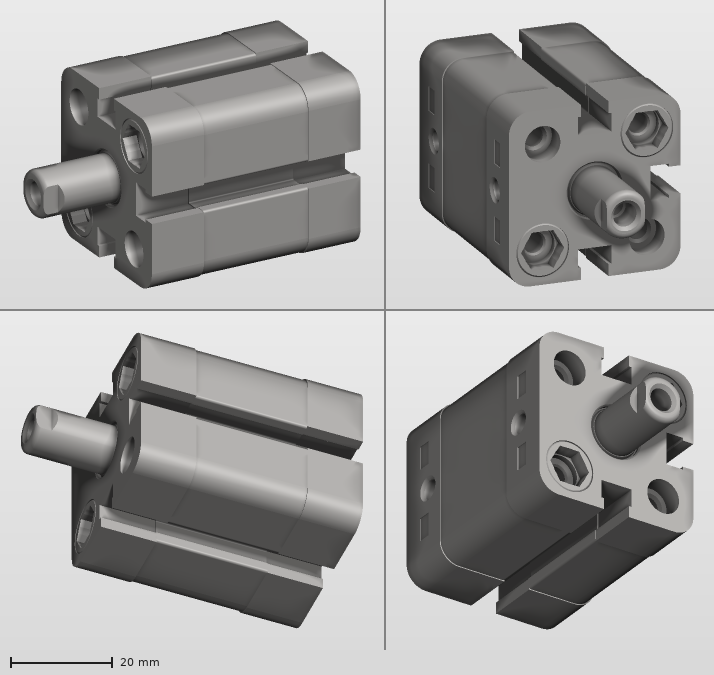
import cadquery as cq
import math


total_length = 63.6
body_length = 47.05
cap_length = 11.75
tube_length = body_length - 2 * cap_length
cap_size = 36.3
tube_inset = 0.2
tube_size = cap_size - 2 * tube_inset
corner_radius = 4.45

cap_slot_neck_width = 5.85
cap_slot_width = 7.1
cap_slot_depth = 6.35
slot_neck_depth = 2.5
slot_clearance = 0.25
tube_slot_mouth_radius = 0.5
tube_slot_corner_radius = 0.3
slot_angles = (0, 90, -90)

rod_diameter = 10.0
rod_projection = total_length - body_length
rear_bore_bottom = 6.1
rod_end_radius = 1.3
flat_width = 8.0
flat_length = 3.3
thread_chamfer_diameter = 6.35
thread_diameter = 4.9
core_diameter = 4.15
rod_thread_depth = 6.35
rod_core_depth = 8.9
floor_point_angle = 118.0

gland_chamfer_diameter = 12.0
gland_diameter = 11.4
gland_depth = 0.95
lip_base_diameter = 10.9
lip_tip_diameter = 10.3
lip_height = 0.65

hole_pitch = 22.1
hole_recess_depth = 4.45
plain_recess_diameter = 7.5
plain_cone_diameter = 5.35
socket_groove_diameter = 11.1
socket_face_diameter = 10.5
hex_across_flats = 7.9
hex_depth = 3.1
hex_bore_diameter = 8.0
lower_bore_diameter = 7.6
socket_cone_diameter = 4.9

port_end_distance = 7.5
port_mouth_diameter = 5.35
port_diameter = 4.15
port_floor_x = -4.8
label_end_distance = 6.25
label_offset = 8.0
label_length = 3.05
label_height = 5.1
label_depth = 0.2


def along_y(y):
    """Workplane at height y whose normal is +Y; local x is X and local y is -Z."""
    return cq.Workplane(cq.Plane(origin=(0, y, 0), xDir=(1, 0, 0), normal=(0, 1, 0)))


def disc(diameter, y_start, y_end, x=0.0, z=0.0):
    """Cylinder along Y."""
    return along_y(y_start).center(x, -z).circle(diameter / 2).extrude(y_end - y_start)


def cone(start_diameter, end_diameter, y_start, x=0.0, z=0.0, length=None):
    """Cone frustum running towards +Y; 45 degrees to the axis unless a length is given."""
    if length is None:
        length = abs(start_diameter - end_diameter) / 2
    start = cq.Vector(x, y_start, z)
    solid = cq.Solid.makeCone(start_diameter / 2, end_diameter / 2, length, start, cq.Vector(0, 1, 0))
    return cq.Workplane(solid)


def square_block(size, y_start, length):
    """Square bar with rounded long edges."""
    block = along_y(y_start).rect(size, size).extrude(length)
    return block.edges("|Y").fillet(corner_radius)


def t_slot(neck_width, width, neck_depth, depth, size, y_start, length):
    """T-slot cutter that opens on the +X side of a block of the given size."""
    side = size / 2
    neck = along_y(y_start).center(side - depth / 2, 0).rect(depth, neck_width).extrude(length)
    chamber_depth = depth - neck_depth
    chamber_x = side - neck_depth - chamber_depth / 2
    chamber = along_y(y_start).center(chamber_x, 0).rect(chamber_depth, width).extrude(length)
    return neck.union(chamber)


def cut_t_slots(block, slot):
    for angle in slot_angles:
        block = block.cut(slot.rotate((0, 0, 0), (0, 1, 0), angle))
    return block


def make_blank_cap():
    """Front cap with slots, port and labels, before its rod bore and fixing holes."""
    cap = square_block(cap_size, 0, cap_length)
    slot = t_slot(
        cap_slot_neck_width, cap_slot_width, slot_neck_depth, cap_slot_depth, cap_size, 0, cap_length
    )
    cap = cut_t_slots(cap, slot)
    return cut_labels(cut_port(cap))


def cut_port(cap):
    """Flat-bottomed port that breaks into the rod bore, with a countersunk mouth."""
    side_x = -cap_size / 2
    mouth = cq.Vector(side_x, port_end_distance, 0)
    inward = cq.Vector(1, 0, 0)
    mouth_depth = (port_mouth_diameter - port_diameter) / 2
    countersink = cq.Solid.makeCone(port_mouth_diameter / 2, port_diameter / 2, mouth_depth, mouth, inward)
    bore = cq.Solid.makeCylinder(port_diameter / 2, port_floor_x - side_x, mouth, inward)
    return cap.cut(cq.Workplane(countersink)).cut(cq.Workplane(bore))


def cut_labels(cap):
    """Two shallow rectangular recesses above and below the port."""
    for z in (-label_offset, label_offset):
        recess = cq.Workplane("XY").box(2 * label_depth, label_length, label_height)
        cap = cap.cut(recess.translate((-cap_size / 2, label_end_distance, z)))
    return cap


def cut_rod_gland(cap):
    """Rod bore with a chamfered recess that leaves a tapered wiper lip around the rod."""
    chamfer = cone(gland_chamfer_diameter, gland_diameter, 0)
    recess = disc(gland_diameter, 0, gland_depth)
    lip = cone(lip_tip_diameter, lip_base_diameter, gland_depth - lip_height, length=lip_height)
    cap = cap.cut(chamfer).cut(recess.cut(lip))
    return cap.cut(disc(rod_diameter, 0, cap_length))


def cut_threaded_hole(cap, cone_diameter, x, z):
    """Countersunk core hole from the bottom of a corner recess to the back of the cap."""
    cap = cap.cut(cone(cone_diameter, core_diameter, hole_recess_depth, x, z))
    return cap.cut(disc(core_diameter, hole_recess_depth, cap_length, x, z))


def cut_plain_hole(cap, x, z):
    cap = cap.cut(disc(plain_recess_diameter, 0, hole_recess_depth, x, z))
    return cut_threaded_hole(cap, plain_cone_diameter, x, z)


def cut_hex_hole(cap, x, z):
    """Hexagon socket in a chamfered round face, widened by a bore, with a narrower bore beneath."""
    chamfer = cone(socket_face_diameter, socket_groove_diameter, 0, x, z)
    groove_depth = (socket_groove_diameter - socket_face_diameter) / 2
    groove = disc(socket_groove_diameter, 0, groove_depth, x, z).cut(chamfer)
    hexagon_diameter = hex_across_flats / math.cos(math.radians(30))
    hexagon = along_y(0).center(x, -z).polygon(6, hexagon_diameter).extrude(hex_depth)
    bore = disc(hex_bore_diameter, 0, hex_depth, x, z)
    lower_bore = disc(lower_bore_diameter, 0, hole_recess_depth, x, z)
    cap = cap.cut(groove).cut(hexagon).cut(bore).cut(lower_bore)
    return cut_threaded_hole(cap, socket_cone_diameter, x, z)


def make_front_cap():
    cap = cut_rod_gland(make_blank_cap())
    offset = hole_pitch / 2
    for side in (-1, 1):
        cap = cut_plain_hole(cap, side * offset, -side * offset)
        cap = cut_hex_hole(cap, side * offset, side * offset)
    return cap


def make_rear_cap():
    """Mirrored blank cap with a blind bore for the rear end of the rod."""
    cap = make_blank_cap().mirror("XZ").translate((0, body_length, 0))
    return cap.cut(disc(rod_diameter, body_length - cap_length, body_length - rear_bore_bottom))


def make_tube():
    """Profile tube between the caps; its slots have rounded mouths and floor corners."""
    tube = square_block(tube_size, cap_length, tube_length)
    slot = t_slot(
        cap_slot_neck_width - slot_clearance,
        cap_slot_width - 2 * slot_clearance,
        slot_neck_depth - tube_inset,
        cap_slot_depth - tube_inset - slot_clearance,
        tube_size,
        cap_length,
        tube_length,
    )
    slot = slot.faces("<X").edges("|Y").fillet(tube_slot_corner_radius)
    tube = cut_t_slots(tube, slot)
    mouth_half_width = (cap_slot_neck_width - slot_clearance) / 2
    middle_y = body_length / 2
    for angle in slot_angles:
        for side in (-1, 1):
            corner = cq.Vertex.makeVertex(tube_size / 2, middle_y, side * mouth_half_width)
            turned_corner = corner.rotate((0, 0, 0), (0, 1, 0), angle)
            edge = cq.selectors.NearestToPointSelector(turned_corner.toTuple())
            tube = tube.edges(edge).fillet(tube_slot_mouth_radius)
    return tube.cut(disc(rod_diameter, cap_length, cap_length + tube_length))


def make_rod():
    """Rod with rounded tip, two wrench flats and an end hole whose floor rises to a central point."""
    tip = -rod_projection
    rod = disc(rod_diameter, tip, body_length - rear_bore_bottom)
    rod = rod.faces("<Y").edges().fillet(rod_end_radius)

    rod_radius = rod_diameter / 2
    flat_x = flat_width / 2
    flat_end = tip + flat_length
    for side in (-1, 1):
        flat = (
            cq.Workplane("XY")
            .moveTo(side * flat_x, tip)
            .lineTo(side * flat_x, flat_end)
            .lineTo(side * rod_radius, flat_end + rod_radius - flat_x)
            .lineTo(side * rod_radius, tip)
            .close()
            .extrude(rod_radius, both=True)
        )
        rod = rod.cut(flat)

    point_length = core_diameter / 2 / math.tan(math.radians(floor_point_angle / 2))
    rod = rod.cut(cone(thread_chamfer_diameter, thread_diameter, tip))
    rod = rod.cut(disc(thread_diameter, tip, tip + rod_thread_depth))
    rod = rod.cut(cone(thread_diameter, core_diameter, tip + rod_thread_depth))
    core = disc(core_diameter, tip, tip + rod_core_depth)
    point = cone(0, core_diameter, tip + rod_core_depth - point_length, length=point_length)
    return rod.cut(core.cut(point))


front_cap = make_front_cap()
tube = make_tube()
rear_cap = make_rear_cap()
rod = make_rod()

bodies = (front_cap, tube, rear_cap, rod)
result = cq.Compound.makeCompound([body.solids().val() for body in bodies])